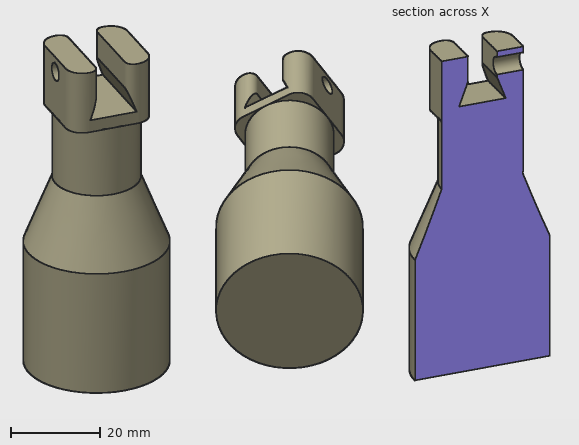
import cadquery as cq

base_diameter = 33.0
neck_diameter = 20.0
base_height = 29.95
cone_top = 46.3
head_bottom = 63.0
total_height = 78.0

head_width = neck_diameter
outer_corner_radius = 4.0
inner_corner_radius = 2.0
slot_width = 7.0
slot_floor_width = 11.2
slot_depth = 12.0
straight_slot_depth = 6.5
slot_floor = total_height - slot_depth
taper_top = total_height - straight_slot_depth

pin_diameter = 4.2
pin_depth_from_top = 3.7


def make_body():
    """Stepped round body: wide base, cone and neck."""
    base_radius = base_diameter / 2
    neck_radius = neck_diameter / 2
    return (
        cq.Workplane("XZ")
        .moveTo(0, 0)
        .lineTo(base_radius, 0)
        .lineTo(base_radius, base_height)
        .lineTo(neck_radius, cone_top)
        .lineTo(neck_radius, head_bottom)
        .lineTo(0, head_bottom)
        .close()
        .revolve(360, (0, 0, 0), (0, 1, 0))
    )


def make_head():
    """Rounded square block that carries the fork."""
    return (
        cq.Workplane("XY", origin=(0, 0, head_bottom))
        .rect(head_width, head_width)
        .extrude(total_height - head_bottom)
        .edges("|Z")
        .fillet(outer_corner_radius)
    )


def make_straight_slot():
    """Slot with flared ends that round the inner vertical edges of the arms."""
    half_width = head_width / 2
    half_slot = slot_width / 2
    arms = (
        cq.Workplane("XY", origin=(0, 0, slot_floor))
        .pushPoints([(0, half_slot + half_width), (0, -half_slot - half_width)])
        .rect(head_width, head_width)
        .extrude(slot_depth)
        .edges("|Z")
        .fillet(inner_corner_radius)
    )
    slot_region = (
        cq.Workplane("XY", origin=(0, 0, slot_floor))
        .rect(head_width, slot_width + 2 * inner_corner_radius)
        .extrude(slot_depth)
    )
    return slot_region.cut(arms)


def make_slot_taper():
    """Widening lower part of the slot."""
    return (
        cq.Workplane("YZ")
        .moveTo(-slot_floor_width / 2, slot_floor)
        .lineTo(slot_floor_width / 2, slot_floor)
        .lineTo(slot_width / 2, taper_top)
        .lineTo(-slot_width / 2, taper_top)
        .close()
        .extrude(head_width / 2, both=True)
    )


def make_pin_hole():
    """Hole along Y through the front arm, ending in the slot."""
    return (
        cq.Workplane("XZ", origin=(0, 0, total_height - pin_depth_from_top))
        .circle(pin_diameter / 2)
        .extrude(head_width / 2)
    )


result = (
    make_body()
    .union(make_head())
    .cut(make_straight_slot())
    .cut(make_slot_taper())
    .cut(make_pin_hole())
)